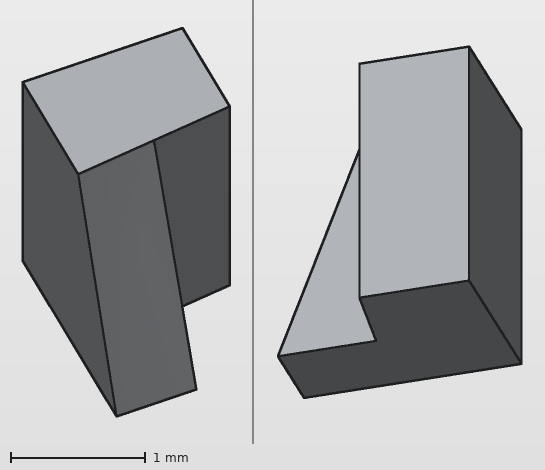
import cadquery as cq

height = 2.0
depth = 1.3
base_width = 1.69

top_front_width = 1.0
top_back_width = 0.852

foot_depth = depth / 2

front_y = -depth / 2
back_y = depth / 2


def top_width_at(distance):
    """Width of the top face at a distance behind the front."""
    return top_front_width + (top_back_width - top_front_width) * distance / depth


def upright_block():
    """Body with a vertical +X wall below the tapered top face."""
    outline = [
        (0, front_y),
        (top_front_width, front_y),
        (top_back_width, back_y),
        (0, back_y),
    ]
    return cq.Workplane("XY").polyline(outline).close().extrude(height)


def sloping_foot():
    """Front body whose twisted +X face runs from the top edge down to the base edge."""
    foot_back_y = front_y + foot_depth
    base_outline = [
        (0, front_y),
        (base_width, front_y),
        (base_width, foot_back_y),
        (0, foot_back_y),
    ]
    top_outline = [
        (0, front_y),
        (top_front_width, front_y),
        (top_width_at(foot_depth), foot_back_y),
        (0, foot_back_y),
    ]
    return (
        cq.Workplane("XY")
        .polyline(base_outline)
        .close()
        .workplane(offset=height)
        .polyline(top_outline)
        .close()
        .loft(ruled=True)
    )


result = upright_block().union(sloping_foot())